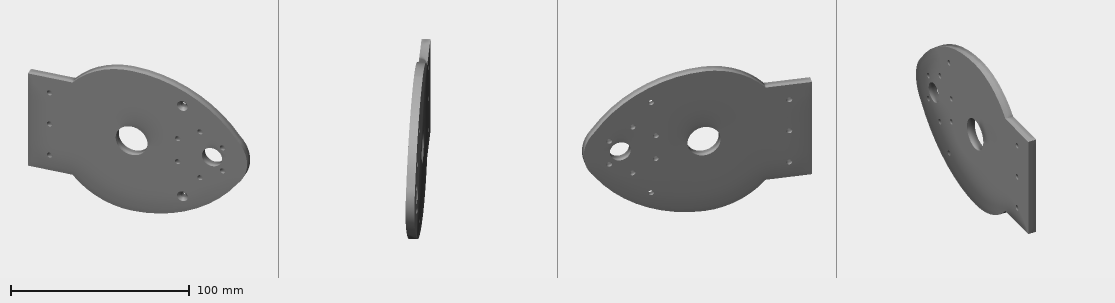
import cadquery as cq
import math

length = 130.9
thickness = 5.0
body_radius = 47.0
tail_half_height = 31.0
body_center_x = 61.9
nose_radius = 21.0
nose_center_x = length - nose_radius
side_end_x = 125.2

body_bore_diameter = 19.0
nose_bore_diameter = 12.0
small_hole_diameter = 3.3
tail_hole_x = 13.0
tail_hole_pitch = 21.0
ring_center_x = 102.9
ring_radius = 15.5
ring_hole_count = 6
ring_start_angle = 30.0
countersink_offset = 30.4
countersink_diameter = 6.4
countersink_angle = 90.0

side_run = side_end_x - body_center_x
side_end_z = math.sqrt(nose_radius**2 - (side_end_x - nose_center_x)**2)
side_drop = body_radius - side_end_z
side_radius = (side_run**2 + side_drop**2) / (2 * side_drop)
side_center_z = body_radius - side_radius
side_end_angle = math.acos(side_run / side_radius)


def side_point(angle):
    """Point on the upper side arc, with the angle measured from +X."""
    return (
        body_center_x + side_radius * math.cos(angle),
        side_center_z + side_radius * math.sin(angle),
    )


def body_point(angle):
    """Point on the body circle, with the angle measured from +X."""
    return (body_center_x + body_radius * math.cos(angle), body_radius * math.sin(angle))


def mirrored(point):
    """Same X, opposite Z."""
    return (point[0], -point[1])


def make_plate():
    shoulder_angle = math.pi - math.asin(tail_half_height / body_radius)
    shoulder = body_point(shoulder_angle)
    body_middle = body_point((shoulder_angle + math.pi / 2) / 2)
    crown = (body_center_x, body_radius)
    side_middle = side_point((math.pi / 2 + side_end_angle) / 2)
    side_end = (side_end_x, side_end_z)
    return (
        cq.Workplane("XZ")
        .moveTo(0, -tail_half_height)
        .lineTo(0, tail_half_height)
        .lineTo(*shoulder)
        .threePointArc(body_middle, crown)
        .threePointArc(side_middle, side_end)
        .threePointArc((length, 0), mirrored(side_end))
        .threePointArc(mirrored(side_middle), mirrored(crown))
        .threePointArc(mirrored(body_middle), mirrored(shoulder))
        .close()
        .extrude(-thickness)
    )


def drill(plate, points, diameter):
    """Cut through holes at the given (X, Z) points."""
    holes = cq.Workplane("XZ").pushPoints(points).circle(diameter / 2).extrude(-thickness)
    return plate.cut(holes)


def countersink(plate, points):
    """Cut through holes with conical seats opening on the front (-Y) face."""
    return (
        plate.faces("<Y")
        .workplane(origin=(0, 0, 0))
        .pushPoints(points)
        .cskHole(small_hole_diameter, countersink_diameter, countersink_angle)
    )


tail_points = [(tail_hole_x, row * tail_hole_pitch) for row in (-1, 0, 1)]
ring_angles = [
    math.radians(ring_start_angle + index * 360 / ring_hole_count)
    for index in range(ring_hole_count)
]
ring_points = [
    (ring_center_x + ring_radius * math.cos(angle), ring_radius * math.sin(angle))
    for angle in ring_angles
]
countersink_points = [
    (body_center_x + countersink_offset, side * countersink_offset) for side in (-1, 1)
]

result = make_plate()
result = drill(result, [(body_center_x, 0)], body_bore_diameter)
result = drill(result, [(nose_center_x, 0)], nose_bore_diameter)
result = drill(result, tail_points + ring_points, small_hole_diameter)
result = countersink(result, countersink_points)